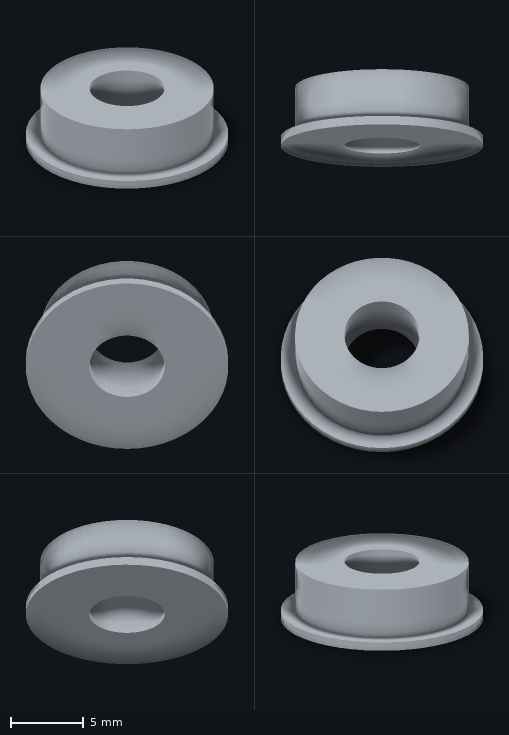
import cadquery as cq

flange_diameter = 14.0
body_diameter = 12.0
bore_diameter = 5.2
total_height = 4.12
flange_thickness = 0.6

flange = cq.Workplane("XY").circle(flange_diameter / 2).extrude(flange_thickness)
body = cq.Workplane("XY").circle(body_diameter / 2).extrude(total_height)
bore = cq.Workplane("XY").circle(bore_diameter / 2).extrude(total_height)

result = flange.union(body).cut(bore)